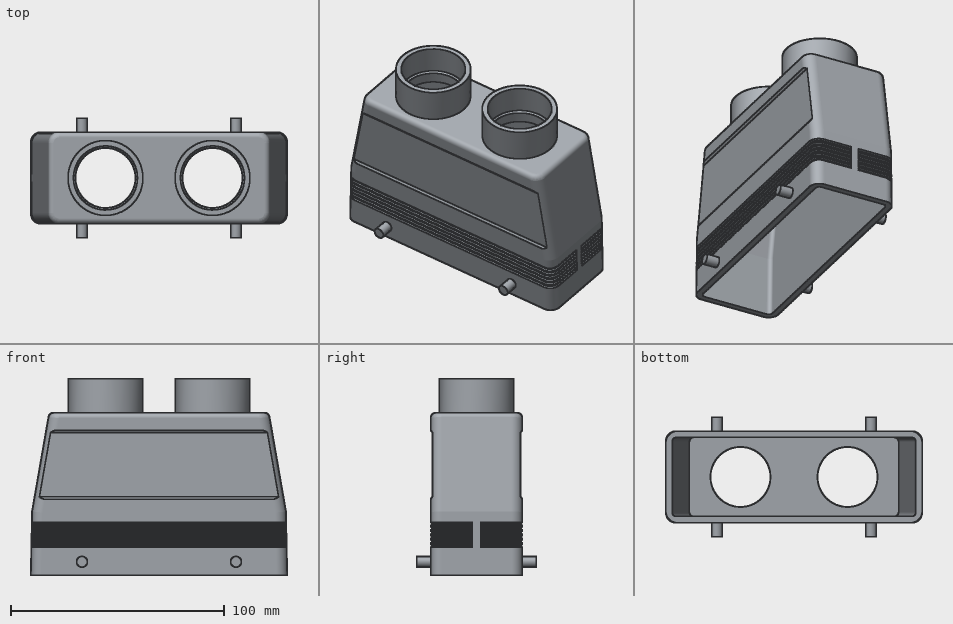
import cadquery as cq

BASE_LENGTH = 120.0
BODY_WIDTH = 43.0
BODY_HEIGHT = 76.1
SHOULDER_LENGTH = 118.8
SHOULDER_HEIGHT = 29.9
ROOF_LENGTH = 102.7
CORNER_RADIUS = 5.0
ROOF_EDGE_RADIUS = 2.5
WALL = 3.0

PANEL_BOTTOM = 36.8
PANEL_TOP = 66.7
PANEL_DEPTH = 0.8
PANEL_LIP_HEIGHT = 1.2

GROOVE_COUNT = 6
GROOVE_PITCH = 2.0
GROOVE_OPENING = 1.5
GROOVE_FLOOR = 0.5
GROOVE_DEPTH = 0.8
GROOVE_BAND_CENTER = 19.0
GROOVE_GAP = 4.0

TOWER_HEIGHT = 16.0
TOWER_DIAMETER = 35.0
TOWER_SPACING = 50.0
SOCKET_DIAMETER = 30.0
SOCKET_DEPTH = 13.1
SEAT_HEIGHT = 0.7
ENTRY_DIAMETER = 28.0

PEG_DIAMETER = 5.0
PEG_SPACING = 72.0
PEG_HEIGHT = 6.4
PEG_TIP_SPAN = 56.0


def hood_block(inset):
    """Hood volume with its end and side faces moved inwards by the inset."""
    half_base = BASE_LENGTH / 2 - inset
    half_shoulder = SHOULDER_LENGTH / 2 - inset
    half_roof = ROOF_LENGTH / 2 - inset
    half_width = BODY_WIDTH / 2 - inset
    block = (
        cq.Workplane("XZ", origin=(0, half_width, 0))
        .moveTo(-half_base, 0)
        .lineTo(half_base, 0)
        .lineTo(half_shoulder, SHOULDER_HEIGHT)
        .lineTo(half_roof, BODY_HEIGHT)
        .lineTo(-half_roof, BODY_HEIGHT)
        .lineTo(-half_shoulder, SHOULDER_HEIGHT)
        .close()
        .extrude(2 * half_width)
    )
    return block.edges("not(|X or |Y)").fillet(CORNER_RADIUS - inset)


def cavity():
    """Inside of the hood, open at the base and closed by the roof wall."""
    below_roof = cq.Workplane("XY").box(
        BASE_LENGTH, BODY_WIDTH, BODY_HEIGHT - WALL, centered=(True, True, False)
    )
    return hood_block(WALL).intersect(below_roof)


def panel_cutter(side):
    """Bar along X that recesses one long side and runs out at the tapered ends."""
    face = side * BODY_WIDTH / 2
    floor = face - side * PANEL_DEPTH
    return (
        cq.Workplane("YZ", origin=(-BASE_LENGTH / 2, 0, 0))
        .moveTo(face, PANEL_BOTTOM - PANEL_LIP_HEIGHT)
        .lineTo(floor, PANEL_BOTTOM)
        .lineTo(floor, PANEL_TOP)
        .lineTo(face, PANEL_TOP + PANEL_LIP_HEIGHT)
        .close()
        .extrude(BASE_LENGTH)
    )


def skirt_length(height):
    """Length along X of the drafted skirt at the given height."""
    return BASE_LENGTH - (BASE_LENGTH - SHOULDER_LENGTH) * height / SHOULDER_HEIGHT


def skirt_outline(inset, length, height):
    """Rounded outline of the skirt, moved inwards by the inset."""
    rectangle = cq.Sketch().rect(length - 2 * inset, BODY_WIDTH - 2 * inset)
    rounded = rectangle.vertices().fillet(CORNER_RADIUS - inset)
    return rounded.moved(cq.Location((0, 0, height)))


def groove_cutter(height):
    """Groove ring around the skirt, interrupted at the middle of each end."""
    length = skirt_length(height)

    def slab(width):
        oversize = 2.4
        plane = cq.Workplane("XY", origin=(0, 0, height))
        return plane.box(BASE_LENGTH + oversize, width, GROOVE_OPENING)

    def flank_core(direction):
        """Solid left inside one sloping groove flank; direction is +1 up, -1 down."""
        rim = skirt_outline(0, length, height + direction * GROOVE_OPENING / 2)
        bottom = skirt_outline(GROOVE_DEPTH, length, height + direction * GROOVE_FLOOR / 2)
        return cq.Workplane("XY").placeSketch(bottom, rim).loft(ruled=True)

    floor_core = (
        cq.Workplane("XY")
        .placeSketch(skirt_outline(GROOVE_DEPTH, length, height - GROOVE_FLOOR / 2))
        .extrude(GROOVE_FLOOR)
    )
    ring = slab(2 * BODY_WIDTH).cut(floor_core).cut(flank_core(1)).cut(flank_core(-1))
    return ring.cut(slab(GROOVE_GAP))


def tower_profile():
    """Centre points of both towers on the plane of their rims."""
    plane = cq.Workplane("XY", origin=(0, 0, BODY_HEIGHT + TOWER_HEIGHT))
    return plane.pushPoints([(-TOWER_SPACING / 2, 0), (TOWER_SPACING / 2, 0)])


def seat_cutter(x):
    """Cone that narrows one socket down to its cable entry."""
    seat_top = BODY_HEIGHT + TOWER_HEIGHT - SOCKET_DEPTH
    return (
        cq.Workplane("XY", origin=(x, 0, seat_top))
        .circle(SOCKET_DIAMETER / 2)
        .workplane(offset=-SEAT_HEIGHT)
        .circle(ENTRY_DIAMETER / 2)
        .loft()
    )


def pegs(side):
    """Pair of round pegs on one long side, rooted halfway into the wall."""
    length = (PEG_TIP_SPAN - BODY_WIDTH + WALL) / 2
    return (
        cq.Workplane("XZ", origin=(0, side * PEG_TIP_SPAN / 2, PEG_HEIGHT))
        .pushPoints([(-PEG_SPACING / 2, 0), (PEG_SPACING / 2, 0)])
        .circle(PEG_DIAMETER / 2)
        .extrude(side * length)
    )


hood = hood_block(0).faces(">Z").edges().fillet(ROOF_EDGE_RADIUS)
for side in (1, -1):
    hood = hood.cut(panel_cutter(side))

lowest_groove = GROOVE_BAND_CENTER - (GROOVE_COUNT - 1) / 2 * GROOVE_PITCH
for index in range(GROOVE_COUNT):
    hood = hood.cut(groove_cutter(lowest_groove + index * GROOVE_PITCH))

hood = hood.cut(cavity())
hood = hood.union(tower_profile().circle(TOWER_DIAMETER / 2).extrude(-TOWER_HEIGHT))
hood = hood.cut(tower_profile().circle(SOCKET_DIAMETER / 2).extrude(-SOCKET_DEPTH))
for x in (-TOWER_SPACING / 2, TOWER_SPACING / 2):
    hood = hood.cut(seat_cutter(x))
hood = hood.cut(tower_profile().circle(ENTRY_DIAMETER / 2).extrude(-TOWER_HEIGHT - WALL))

for side in (1, -1):
    hood = hood.union(pegs(side))

result = hood